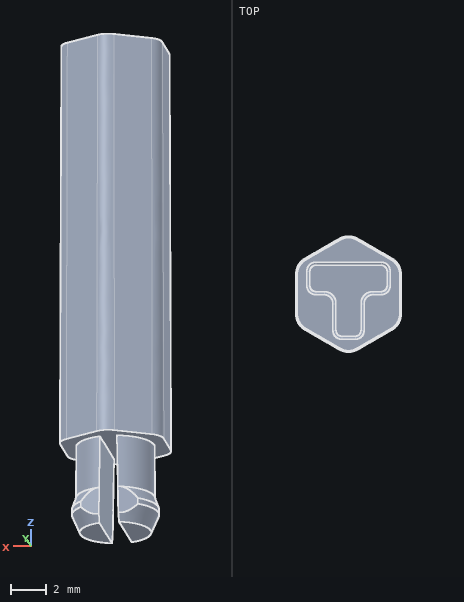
import cadquery as cq
import math

total_height = 28.55
peg_height = 5.05
body_height = total_height - peg_height

body_sides = 6
body_across_flats = 5.94
body_corner_radius = 1.02
body_draft = 0.2

pocket_depth = 20.0
pocket_draft = 0.5
pocket_corner_radius = 0.5
bar_half_width = 2.35
bar_top_y = 1.8
bar_bottom_y = -0.03
stem_half_width = 0.88
stem_bottom_y = -2.55

peg_radius = 2.23
barb_radius = 2.47
tip_radius = 2.02
barb_lower_z = 1.03
barb_upper_z = 1.37
barb_top_z = 2.03

slot_tip_width = 1.12
slot_root_width = 0.97

barb_flat_angle = 16.0


def make_body():
    """Drafted hexagonal prism with rounded corners, two flats facing +X and -X."""
    corner_distance = body_across_flats / math.sqrt(3)
    corners = []
    for index in range(body_sides):
        angle = 2 * math.pi / body_sides * (index + 0.5)
        corners.append((corner_distance * math.cos(angle), corner_distance * math.sin(angle)))
    outline = cq.Sketch().polygon(corners + corners[:1]).vertices().fillet(body_corner_radius)
    return (
        cq.Workplane("XY", origin=(0, 0, peg_height))
        .placeSketch(outline)
        .extrude(body_height, taper=body_draft)
    )


def make_pocket():
    """T-shaped blind pocket that narrows towards its floor."""
    corners = [
        (-bar_half_width, bar_top_y),
        (-bar_half_width, bar_bottom_y),
        (-stem_half_width, bar_bottom_y),
        (-stem_half_width, stem_bottom_y),
        (stem_half_width, stem_bottom_y),
        (stem_half_width, bar_bottom_y),
        (bar_half_width, bar_bottom_y),
        (bar_half_width, bar_top_y),
    ]
    outline = cq.Sketch().polygon(corners + corners[:1]).vertices().fillet(pocket_corner_radius)
    return (
        cq.Workplane("XY", origin=(0, 0, total_height))
        .placeSketch(outline)
        .extrude(-pocket_depth, taper=pocket_draft)
    )


def make_turned_peg():
    """Round peg with a barb, revolved about Z."""
    profile = [
        (0, 0),
        (tip_radius, 0),
        (barb_radius, barb_lower_z),
        (barb_radius, barb_upper_z),
        (peg_radius, barb_top_z),
        (peg_radius, peg_height),
        (0, peg_height),
    ]
    return cq.Workplane("XZ").polyline(profile).close().revolve(360, (0, 0), (0, 1))


def make_slot():
    """Tapered slot running through the peg along Y."""
    section = [
        (-slot_tip_width / 2, 0),
        (slot_tip_width / 2, 0),
        (slot_root_width / 2, peg_height),
        (-slot_root_width / 2, peg_height),
    ]
    return cq.Workplane("XZ").polyline(section).close().extrude(2 * barb_radius, both=True)


def make_barb_flat(angle):
    """Block whose inner face is a plane touching the peg at the given angle about Z."""
    size = 2 * barb_radius
    block = cq.Workplane("XY").box(size, size, barb_top_z, centered=(False, True, False))
    return block.translate((peg_radius, 0, 0)).rotate((0, 0, 0), (0, 0, 1), angle)


def make_peg():
    """Barbed peg, split by the slot and flattened on both sides of each slot mouth."""
    peg = make_turned_peg()
    for slot_mouth in (90, 270):
        for side in (-1, 1):
            peg = peg.cut(make_barb_flat(slot_mouth + side * barb_flat_angle))
    return peg.cut(make_slot())


result = make_body().cut(make_pocket()).union(make_peg())